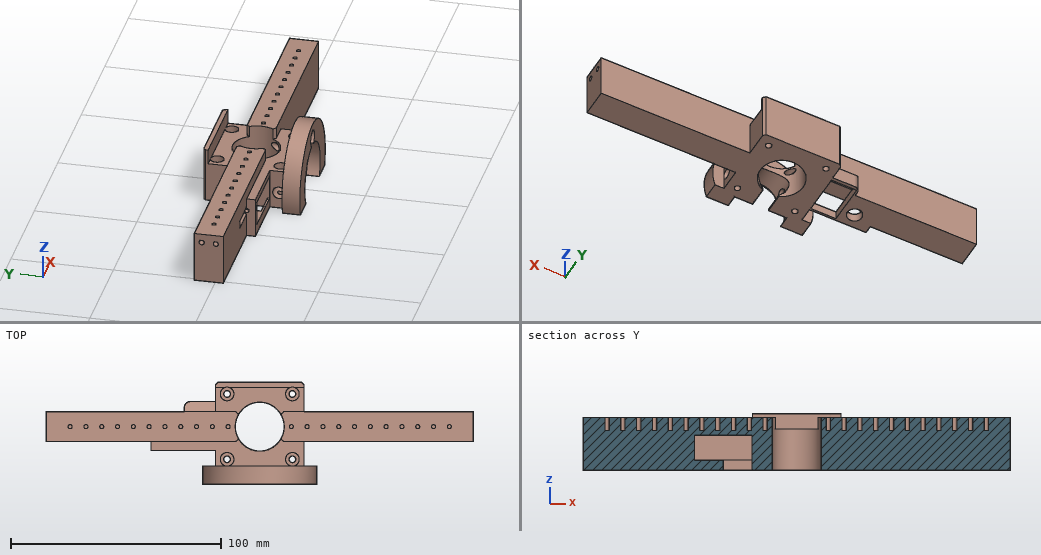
import cadquery as cq

bar_length = 203.0
bar_width = 14.2
bar_height = 25.2

pilot_pitch = 7.5
pilot_count = 11
pilot_first = 2 * pilot_pitch
pilot_diameter = 1.93
pilot_depth = 6.0

end_hole_spacing = 7.0
end_hole_height = 20.7
end_hole_diameter = 2.5
end_hole_depth = 10.2

arm_bevel_start = 11.4
arm_bevel_run = 3.2

block_side = 42.2
block_height = 19.7
block_half = block_side / 2
center_bore_diameter = 23.1
bolt_spacing = 31.0
bolt_diameter = 3.0
bolt_head_diameter = 6.5
bolt_head_floor = 15.2

lip_height = 27.0
lip_thickness = 2.5
back_corner_chamfer = 1.2

flange_radius = 27.2
flange_axis_height = 8.1
flange_front = -27.5
flange_back = -18.7
flange_recess_radius = 16.2
notch_radius = 4.0
notch_height = 27.8
notch_depth = 2.6
shaft_bore_radius = 8.3
shaft_slot_width = 8.5
flange_screw_offset = 8.5
flange_screw_diameter = 3.9

cross_hole_diameter = 6.0
cross_hole_y = -15.8

frame_left = -51.8
frame_front = -11.4
pocket_left = -48.5
pocket_right = -21.3
pocket_bottom = 4.9
pocket_top = 16.6
pocket_back = 5.7

floor_opening_left = -35.0
floor_opening_half_width = 10.4

floor_hole_x = -41.6
floor_hole_y = -4.0
floor_hole_diameter = 7.7

groove_left = -66.4
groove_height = 13.4
groove_radius = 1.8
wire_hole_radius = 1.12

bulge_left = -36.0
bulge_back = 12.0
bulge_eave_height = 8.3
bulge_ridge_height = 13.2
bulge_corner_radius = 3.0


def box(x_range, y_range, z_range):
    """Box spanning the given (low, high) limits."""
    size = [high - low for low, high in (x_range, y_range, z_range)]
    corner = (x_range[0], y_range[0], z_range[0])
    return cq.Workplane("XY").box(*size, centered=False).translate(corner)


def cylinder_y(x, z, radius, y_range):
    """Cylinder along Y between two y limits."""
    plane = cq.Workplane("XZ", origin=(x, y_range[1], z))
    return plane.circle(radius).extrude(y_range[1] - y_range[0])


def cylinder_x(y, z, radius, x_range):
    """Cylinder along X between two x limits."""
    plane = cq.Workplane("YZ", origin=(x_range[0], y, z))
    return plane.circle(radius).extrude(x_range[1] - x_range[0])


def make_bar():
    return cq.Workplane("XY").box(bar_length, bar_width, bar_height, centered=(True, True, False))


def make_block():
    full_width = (-block_half, block_half)
    block = box(full_width, full_width, (0, block_height))
    lip = box(full_width, (block_half - lip_thickness, block_half), (0, lip_height))
    return block.union(lip).edges("|Z and >Y").chamfer(back_corner_chamfer)


def make_flange():
    disc = cylinder_y(0, flange_axis_height, flange_radius, (flange_front, flange_back))
    recess_depth = (flange_front, -block_half)
    recess = cylinder_y(0, flange_axis_height, flange_recess_radius, recess_depth)
    notch = cylinder_y(0, notch_height, notch_radius, (flange_front, flange_front + notch_depth))
    below_base = box(
        (-flange_radius, flange_radius),
        (flange_front, flange_back),
        (-flange_radius, 0),
    )
    return disc.cut(recess).cut(notch).cut(below_base)


def make_frame():
    return box((frame_left, -block_half), (frame_front, 0), (0, block_height))


def make_bulge():
    profile = [
        (0, 0),
        (bulge_back, 0),
        (bulge_back, bulge_eave_height),
        (bar_width / 2, bulge_ridge_height),
        (0, bulge_ridge_height),
    ]
    plane = cq.Workplane("YZ", origin=(bulge_left, 0, 0))
    bulge = plane.polyline(profile).close().extrude(-block_half - bulge_left)
    return bulge.edges("|Z and >Y and <X").fillet(bulge_corner_radius)


def make_pocket():
    y_range = (frame_front, pocket_back)
    pocket = box((pocket_left, pocket_right), y_range, (pocket_bottom, pocket_top))
    floor_opening = box(
        (floor_opening_left, pocket_right),
        (-floor_opening_half_width, floor_opening_half_width),
        (0, pocket_bottom),
    )
    floor_hole = cq.Workplane("XY").center(floor_hole_x, floor_hole_y)
    floor_hole = floor_hole.circle(floor_hole_diameter / 2).extrude(pocket_bottom)
    return pocket.union(floor_opening).union(floor_hole)


def make_bolt_holes():
    corners = cq.Workplane("XY").rect(bolt_spacing, bolt_spacing, forConstruction=True).vertices()
    holes = corners.circle(bolt_diameter / 2).extrude(lip_height)
    seats = cq.Workplane("XY", origin=(0, 0, bolt_head_floor))
    seats = seats.rect(bolt_spacing, bolt_spacing, forConstruction=True).vertices()
    return holes.union(seats.circle(bolt_head_diameter / 2).extrude(lip_height - bolt_head_floor))


def make_pilot_holes():
    places = []
    for index in range(pilot_count):
        x = pilot_first + index * pilot_pitch
        places += [(x, 0), (-x, 0)]
    plane = cq.Workplane("XY", origin=(0, 0, bar_height))
    return plane.pushPoints(places).circle(pilot_diameter / 2).extrude(-pilot_depth)


def make_arm_corner_cuts():
    wedge = [
        (arm_bevel_start, bar_width / 2),
        (arm_bevel_start - arm_bevel_run, bar_width / 2),
        (arm_bevel_start - arm_bevel_run, bar_width / 2 - arm_bevel_run),
    ]
    plane = cq.Workplane("XY", origin=(0, 0, block_height))
    corner = plane.polyline(wedge).close().extrude(bar_height - block_height)
    side = corner.union(corner.mirror("XZ"))
    return side.union(side.mirror("YZ"))


body = make_bar().union(make_block()).union(make_frame()).union(make_bulge())

body = body.cut(cq.Workplane("XY").circle(center_bore_diameter / 2).extrude(bar_height))
body = body.cut(make_bolt_holes())
body = body.cut(make_pocket())
bar_front = -bar_width / 2
body = body.cut(cylinder_x(bar_front, groove_height, groove_radius, (groove_left, frame_left)))
body = body.cut(cylinder_x(bar_front, groove_height, wire_hole_radius, (frame_left, pocket_left)))
body = body.cut(make_arm_corner_cuts())
body = body.cut(make_pilot_holes())

arm_end = bar_length / 2
for y in (-end_hole_spacing / 2, end_hole_spacing / 2):
    for x_range in ((-arm_end, -arm_end + end_hole_depth), (arm_end - end_hole_depth, arm_end)):
        body = body.cut(cylinder_x(y, end_hole_height, end_hole_diameter / 2, x_range))

body = body.union(make_flange())
to_center = (-block_half, 0)
body = body.cut(cylinder_y(0, flange_axis_height, shaft_bore_radius, to_center))
body = body.cut(box((-shaft_slot_width / 2, shaft_slot_width / 2), to_center, (0, flange_axis_height)))
screw_height = flange_axis_height + flange_screw_offset
for x in (-flange_screw_offset, flange_screw_offset):
    body = body.cut(cylinder_y(x, screw_height, flange_screw_diameter / 2, to_center))
cross_span = (-block_half, block_half)
body = body.cut(cylinder_x(cross_hole_y, flange_axis_height, cross_hole_diameter / 2, cross_span))

result = body